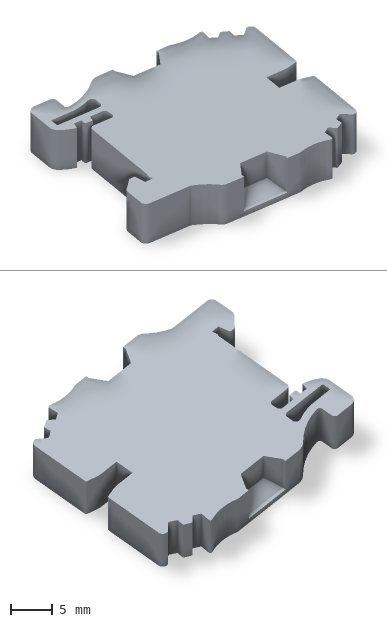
import cadquery as cq

width = 27.0
height = 32.2
thickness = 6.0
side_x = width / 2

notch_half_width = 1.32
notch_floor_y = 27.3
notch_mouth_half_width = 1.8
notch_taper_y = 30.35
notch_lip_radius = 0.2
notch_throat_radius = 3.22

crown_half_width = 10.3
crown_round = (10.8, 31.97)
crown_corner_x = 10.98
crown_corner_y = 31.5
crown_heel_y = 31.3
crown_lip = (10.65, 30.98)
crown_undercut = (10.08, 30.3)
step_x = 1.4
step_y = 2.75
tooth_root = (9.98, 30.07)
tooth_foot = (10.53, 29.15)
tooth_shelf = (11.55, 29.25)
tooth_tip = (12.1, 28.2)
lower_shelf_y = tooth_shelf[1] - step_y

hollow_top_y = 26.15
hollow_bottom_y = 21.67
hollow_depth = 0.4
shelf_corner_radius = 0.15

shoulder_y = 10.88

pocket_y = 16.45
pocket_mouth_width = 6.5
pocket_floor_width = 4.02
pocket_mouth_z = 0.8
pocket_floor_z = 2.03
pocket_lip_depth = 0.45
pocket_depth = 2.5

spring_foot_x = -13.05
spring_foot_heel_radius = 1.05
spring_foot_top_radius = 0.55
spring_shoulder_round = (-13.33, 10.08)
neck_top = (-12.9, 9.47)
neck_middle = (-11.45, 7.45)
neck_bottom = (-10.53, 4.57)
neck_fillet = 0.4
fixed_foot_x = 11.2
fixed_foot_heel_radius = 0.8
fixed_shoulder_round = (13.35, 10.2)
fixed_shoulder = (12.9, 9.7)
fixed_neck_middle = (12.0, 8.5)
fixed_neck_bottom_y = 6.92

rail_half_width = 7.35
rail_seat_y = 4.0
rail_lip_y = 2.9
spring_toe_x = -8.47
spring_toe_round = (-7.75, 0.23)
spring_hook_base = (-7.2, 0.8)
spring_hook_curve = (-6.73, 1.7)
spring_hook_tip = (-6.4, 2.67)
fixed_hook_x = 5.73
fixed_hook_top_y = 2.5
fixed_hook_bottom_y = 1.7
fixed_toe_x = 7.45
fixed_toe_radius = 0.8
seat_pad_start_x = 6.35
seat_pad_end_x = 7.05
seat_pad_height = 0.1
seat_pad_bevel = 0.13

gap_right_x = -5.65
gap_top_right_y = 7.75
gap_top_left_y = 7.6
gap_top_radius = 0.48
gap_mouth_radius = 0.55
nub_tip_x = -6.55
nub_root_top_y = 5.28
nub_tip_top_y = 5.12
nub_radius = 0.2

window_right_x = -8.25
window_top_y = 7.85
window_bottom_y = 1.03
window_left_x = -9.5
window_curve_y = 4.45
window_curve_middle = (-9.8, 5.95)
window_top_left_x = -10.2
window_curve_top_y = 7.1
window_top_radius = 0.5
window_bottom_radius = 0.23

cut_margin = 0.32
edge_search_reach = 0.03


def tooth_cut(step):
    """Root, foot and shelf of the tooth cut, shifted outward and down by whole steps."""
    return [
        (x + step * step_x, y - step * step_y)
        for x, y in (tooth_root, tooth_foot, tooth_shelf)
    ]


def make_head_half():
    """Right half of the symmetric head, down to the end of its straight side."""
    outline = (
        cq.Workplane("XY")
        .moveTo(0, shoulder_y)
        .lineTo(0, height)
        .lineTo(crown_half_width, height)
        .threePointArc(crown_round, (crown_corner_x, crown_corner_y))
        .lineTo(crown_corner_x, crown_heel_y)
        .lineTo(*crown_lip)
        .lineTo(*crown_undercut)
    )
    for x, y in tooth_cut(0) + [tooth_tip] + tooth_cut(1):
        outline = outline.lineTo(x, y)
    outline = (
        outline.lineTo(side_x, lower_shelf_y)
        .lineTo(side_x, hollow_top_y)
        .threePointArc(
            (side_x - hollow_depth, (hollow_top_y + hollow_bottom_y) / 2),
            (side_x, hollow_bottom_y),
        )
        .lineTo(side_x, shoulder_y)
        .close()
    )
    head = outline.extrude(thickness)
    return round_corner(head, side_x, lower_shelf_y, shelf_corner_radius)


def make_lower_body():
    """Shoulders and outer outline of both feet, still joined at the bottom."""
    outline = (
        cq.Workplane("XY")
        .moveTo(-side_x, shoulder_y)
        .threePointArc(spring_shoulder_round, neck_top)
        .threePointArc(neck_middle, neck_bottom)
        .lineTo(neck_bottom[0], rail_seat_y)
        .lineTo(spring_foot_x, rail_seat_y)
        .lineTo(spring_foot_x, 0)
        .lineTo(fixed_foot_x, 0)
        .lineTo(fixed_foot_x, fixed_neck_bottom_y)
        .threePointArc(fixed_neck_middle, fixed_shoulder)
        .threePointArc(fixed_shoulder_round, (side_x, shoulder_y))
        .close()
    )
    body = outline.extrude(thickness)
    body = round_corner(body, neck_bottom[0], rail_seat_y, neck_fillet)
    body = round_corner(body, spring_foot_x, rail_seat_y, spring_foot_top_radius)
    body = round_corner(body, spring_foot_x, 0, spring_foot_heel_radius)
    return round_corner(body, fixed_foot_x, 0, fixed_foot_heel_radius)


def round_corner(body, x, y, radius):
    """Fillet the Z-direction edge that stands at (x, y)."""
    reach = edge_search_reach
    box = cq.selectors.BoxSelector(
        (x - reach, y - reach, -reach), (x + reach, y + reach, thickness + reach)
    )
    return body.edges("|Z").edges(box).fillet(radius)


def make_notch():
    """Screwdriver notch with a flared mouth."""
    half = [
        (notch_half_width, notch_floor_y),
        (notch_half_width, notch_taper_y),
        (notch_mouth_half_width, height),
        (notch_mouth_half_width, height + cut_margin),
    ]
    mirrored = [(-x, y) for x, y in reversed(half)]
    return cq.Workplane("XY").polyline(half + mirrored).close().extrude(thickness)


def make_rail_groove():
    """Space for the mounting rail, bounded by the hooks of the two feet."""
    outline = (
        cq.Workplane("XY")
        .moveTo(spring_toe_x, 0)
        .threePointArc(spring_toe_round, spring_hook_base)
        .threePointArc(spring_hook_curve, spring_hook_tip)
        .lineTo(-rail_half_width, rail_lip_y)
        .lineTo(-rail_half_width, rail_seat_y)
        .lineTo(seat_pad_start_x, rail_seat_y)
        .lineTo(seat_pad_start_x + seat_pad_bevel, rail_seat_y - seat_pad_height)
        .lineTo(seat_pad_end_x - seat_pad_bevel, rail_seat_y - seat_pad_height)
        .lineTo(seat_pad_end_x, rail_seat_y)
        .lineTo(rail_half_width, rail_seat_y)
        .lineTo(rail_half_width, rail_lip_y)
        .lineTo(fixed_hook_x, fixed_hook_top_y)
        .lineTo(fixed_hook_x, fixed_hook_bottom_y)
        .lineTo(fixed_toe_x, 0)
        .close()
    )
    return outline.extrude(thickness)


def make_spring_gap():
    """Clearance between the spring leg and the body, around the catch nub."""
    outline = (
        cq.Workplane("XY")
        .moveTo(gap_right_x, rail_seat_y)
        .lineTo(gap_right_x, gap_top_right_y)
        .lineTo(-rail_half_width, gap_top_left_y)
        .lineTo(-rail_half_width, nub_root_top_y)
        .lineTo(nub_tip_x, nub_tip_top_y)
        .lineTo(nub_tip_x, rail_seat_y)
        .close()
    )
    gap = outline.extrude(thickness)
    gap = round_corner(gap, gap_right_x, gap_top_right_y, gap_top_radius)
    return round_corner(gap, -rail_half_width, gap_top_left_y, gap_top_radius)


def make_window():
    """Through window that makes the spring leg flexible."""
    outline = (
        cq.Workplane("XY")
        .moveTo(window_left_x, window_bottom_y)
        .lineTo(window_right_x, window_bottom_y)
        .lineTo(window_right_x, window_top_y)
        .lineTo(window_top_left_x, window_top_y)
        .lineTo(window_top_left_x, window_curve_top_y)
        .threePointArc(window_curve_middle, (window_left_x, window_curve_y))
        .close()
    )
    window = outline.extrude(thickness)
    window = round_corner(window, window_right_x, window_bottom_y, window_bottom_radius)
    for x in (window_right_x, window_top_left_x):
        window = round_corner(window, x, window_top_y, window_top_radius)
    return window


def pocket_section(x, pocket_width, floor_z):
    """Rectangular pocket section on the YZ plane at x, open to the top face."""
    section_height = thickness - floor_z
    return (
        cq.Workplane("YZ", origin=(x, 0, 0))
        .center(pocket_y, floor_z + section_height / 2)
        .rect(pocket_width, section_height)
    )


def make_pocket():
    """Marker pocket in the right side: a straight lip, then a tapered recess."""
    lip_x = side_x - pocket_lip_depth
    lip = pocket_section(lip_x, pocket_mouth_width, pocket_mouth_z).extrude(pocket_lip_depth)
    floor_wire = pocket_section(side_x - pocket_depth, pocket_floor_width, pocket_floor_z)
    mouth_wire = pocket_section(lip_x, pocket_mouth_width, pocket_mouth_z)
    taper = cq.Solid.makeLoft([floor_wire.val(), mouth_wire.val()], True)
    return lip.union(cq.Workplane(taper))


head_half = make_head_half()
body = head_half.union(head_half.mirror("YZ")).union(make_lower_body())

body = body.cut(make_notch())
for side in (-1, 1):
    body = round_corner(body, side * notch_mouth_half_width, height, notch_lip_radius)
    body = round_corner(body, side * notch_half_width, notch_taper_y, notch_throat_radius)

body = body.cut(make_rail_groove()).cut(make_spring_gap()).cut(make_window())
body = round_corner(body, gap_right_x, rail_seat_y, gap_mouth_radius)
body = round_corner(body, fixed_toe_x, 0, fixed_toe_radius)
body = round_corner(body, nub_tip_x, rail_seat_y, nub_radius)

pocket = make_pocket()
result = body.cut(pocket).cut(pocket.mirror("YZ"))